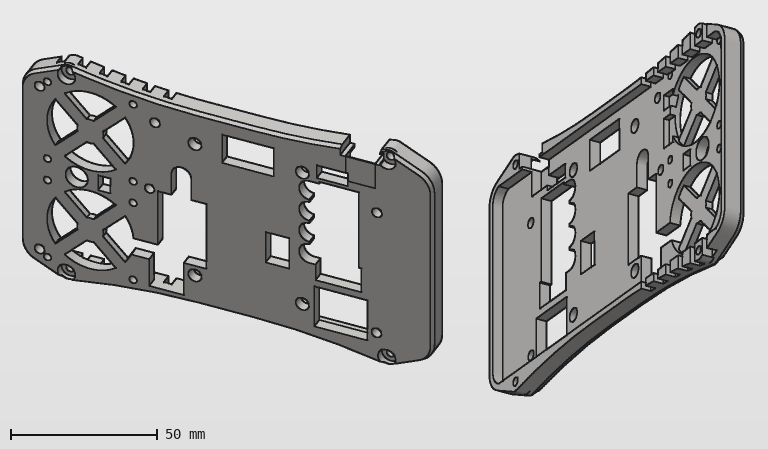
import cadquery as cq
import math


LENGTH = 154.2
HEIGHT = 89.1
DEPTH = 8.0
FLOOR = 4.2
FRONT = -DEPTH / 2
BACK = DEPTH / 2
FLOOR_BACK = FRONT + FLOOR

TIP_RADIUS = 3.5
SCREW_X = 60.0
SCREW_Z = HEIGHT / 2 - TIP_RADIUS
CORNER_RADIUS = 8.5
CORNER_X = LENGTH / 2 - CORNER_RADIUS
CORNER_Z = 31.6
WAIST_HALF_LENGTH = 10.0
WAIST_HALF_HEIGHT = 39.6
BEVEL_INSET = 0.8
BEVEL_DEPTH = 1.7

WALL = 2.3
CAVITY_HALF_HEIGHT = 37.3

SCREW_DIAMETER = 3.1
HEAD_DIAMETER = 6.6
HEAD_DEPTH = 3.2

FAN_X = -51.0
FAN_OFFSET_Z = 20.5
FAN_DIAMETER = 32.4
HUB_RADIUS = 5.0
SPOKE_WIDTH = 5.0
SPOKE_THICKNESS = 2.6
FAN_SCREW_OFFSET = 16.0
FAN_SCREW_DIAMETER = 2.8

CHANNEL_START_X = -38.5
CHANNEL_TOP = 1.2
CHANNEL_BOTTOM = -5.7

RIM_THICKNESS = 2.0
RIM_POCKET_START_X = -36.9
RIM_POCKET_END_X = -30.8
RIM_POCKETS = ((-10.0, CHANNEL_TOP), (4.3, 10.0))

SLOT_COUNT = 6
SLOT_PITCH = 8.0
SLOT_WIDTH = 3.0
FIRST_SLOT_X = -64.0

ROUND_HOLES = (
    (3.7, ((-70.0, 33.8), (-70.0, -34.1), (-26.8, 31.3), (56.3, 18.3), (56.1, -31.8))),
    (3.5, ((-28.8, 3.2),)),
    (5.0, ((-11.9, 26.8), (-11.9, -27.9), (28.4, 26.8), (28.4, -27.9))),
    (8.3, ((-56.1, 0.0),)),
)

WINDOWS = (
    (-48.1, -43.5, -3.1, 3.1),
    (-1.7, 17.6, 22.0, 33.8),
    (14.6, 23.5, -14.6, -2.0),
    (32.8, 52.7, -36.0, -19.3),
    (33.8, 45.3, 26.2, 31.5),
)

BODY_LEFT = -25.8
BODY_RIGHT = -7.5
BODY_BOTTOM = -23.9
BODY_TOP = 3.1
STEM_X = -17.0
STEM_RADIUS = 3.7
STEM_TOP = 15.5
FOOT_LEFT = -29.0
FOOT_RIGHT = -16.0

SCALLOP_RADIUS = 3.9
SCALLOP_X = 31.0
SCALLOP_PITCH = 8.8
SCALLOP_COUNT = 4
TOP_SCALLOP_Z = 20.2
BANK_TOP = TOP_SCALLOP_Z + SCALLOP_RADIUS
BANK_BOTTOM = TOP_SCALLOP_Z - (SCALLOP_COUNT - 1) * SCALLOP_PITCH - SCALLOP_RADIUS
BANK_RIGHT = 49.5
BANK_CAP_LEFT = 34.7
BANK_CAP_TOP = 24.8
BANK_FOOT_LEFT = 33.3
BANK_FOOT_RIGHT = 50.5
BANK_FOOT_TOP = -6.6
BANK_FOOT_BOTTOM = -16.5

NOTCH_LEFT = 42.5
NOTCH_RIGHT = 57.4
NOTCH_BOTTOM = 38.4
NOTCH_SHOULDER = 1.9
POCKET_BOTTOM = 28.0
POCKET_SKIN = 0.39


def block(left, right, bottom, top, y_start=FRONT, y_end=FLOOR_BACK):
    """Box between two Y levels, by default through the floor."""
    size = (right - left, y_end - y_start, top - bottom)
    return cq.Workplane("XY").box(*size, centered=False).translate((left, y_start, bottom))


def rods(centres, diameter, y_end=FLOOR_BACK):
    """Cylinders along Y from the front face at the given (x, z) centres."""
    sketch = cq.Workplane("XZ", origin=(0, FRONT, 0)).pushPoints(centres)
    return sketch.circle(diameter / 2).extrude(FRONT - y_end)


def outlined_slab(inset, y_start):
    """Slab with the tray's outline moved inward by inset, from y_start to the back."""
    tip_radius = TIP_RADIUS - inset
    corner_radius = CORNER_RADIUS - inset
    waist_z = WAIST_HALF_HEIGHT - inset

    tip_run = SCREW_X - WAIST_HALF_LENGTH
    tip_rise = SCREW_Z - waist_z
    waist_radius = (tip_run**2 + tip_rise**2 - tip_radius**2) / (2 * (tip_radius + tip_rise))
    waist_sweep = math.asin(tip_run / (waist_radius + tip_radius))

    corner_run = CORNER_X - SCREW_X
    corner_drop = SCREW_Z - CORNER_Z
    centre_distance = math.hypot(corner_run, corner_drop)
    edge_angle = math.atan2(corner_drop, corner_run) - math.asin(
        (corner_radius - tip_radius) / centre_distance
    )

    def on_circle(x, z, radius, angle):
        return (x + radius * math.sin(angle), z + radius * math.cos(angle))

    def on_waist(angle):
        return on_circle(WAIST_HALF_LENGTH, waist_z + waist_radius, waist_radius, math.pi - angle)

    def on_tip(angle):
        return on_circle(SCREW_X, SCREW_Z, tip_radius, angle)

    def on_corner(angle):
        return on_circle(CORNER_X, CORNER_Z, corner_radius, angle)

    side_angle = math.pi / 2
    quarter = (
        cq.Workplane("XZ", origin=(0, y_start, 0))
        .lineTo(0, waist_z)
        .lineTo(*on_waist(0))
        .threePointArc(on_waist(waist_sweep / 2), on_waist(waist_sweep))
        .threePointArc(on_tip((edge_angle - waist_sweep) / 2), on_tip(edge_angle))
        .lineTo(*on_corner(edge_angle))
        .threePointArc(on_corner((edge_angle + side_angle) / 2), on_corner(side_angle))
        .lineTo(LENGTH / 2 - inset, 0)
        .close()
        .extrude(y_start - BACK)
    )
    half = quarter.union(quarter.mirror("YZ"))
    return half.union(half.mirror("XY")).clean()


def tray():
    body = outlined_slab(0, FRONT).faces("<Y").chamfer(BEVEL_DEPTH, BEVEL_INSET)
    band = block(-LENGTH, LENGTH, -CAVITY_HALF_HEIGHT, CAVITY_HALF_HEIGHT, FLOOR_BACK, BACK)
    return body.cut(outlined_slab(WALL, FLOOR_BACK).intersect(band))


def corner_screws():
    centres = [(x, z) for x in (-SCREW_X, SCREW_X) for z in (-SCREW_Z, SCREW_Z)]
    shanks = rods(centres, SCREW_DIAMETER, BACK)
    return shanks.union(rods(centres, HEAD_DIAMETER, FRONT + HEAD_DEPTH))


def fan(z):
    """Grille opening that leaves the hub and spokes standing, with its four screw holes."""
    centre = [(FAN_X, z)]
    spokes_back = FRONT + SPOKE_THICKNESS
    spokes = rods(centre, 2 * HUB_RADIUS, spokes_back)
    for angle in (45, -45):
        bar = block(
            -FAN_DIAMETER, FAN_DIAMETER, -SPOKE_WIDTH / 2, SPOKE_WIDTH / 2, FRONT, spokes_back
        )
        spokes = spokes.union(bar.rotate((0, 0, 0), (0, 1, 0), angle).translate((FAN_X, 0, z)))
    offsets = (-FAN_SCREW_OFFSET, FAN_SCREW_OFFSET)
    screws = [(FAN_X + dx, z + dz) for dx in offsets for dz in offsets]
    return rods(centre, FAN_DIAMETER).cut(spokes).union(rods(screws, FAN_SCREW_DIAMETER))


def rim_pockets():
    lower, upper = (
        block(
            RIM_POCKET_START_X,
            RIM_POCKET_END_X,
            FAN_OFFSET_Z + bottom,
            FAN_OFFSET_Z + top,
            FRONT + RIM_THICKNESS,
        )
        for bottom, top in RIM_POCKETS
    )
    return lower.union(upper)


def vent_slots():
    first = block(
        FIRST_SLOT_X - SLOT_WIDTH / 2, FIRST_SLOT_X + SLOT_WIDTH / 2, -HEIGHT, HEIGHT, FLOOR_BACK, BACK
    )
    slots = first
    for index in range(1, SLOT_COUNT):
        slots = slots.union(first.translate((index * SLOT_PITCH, 0, 0)))
    return slots


def floor_openings():
    openings = block(*WINDOWS[0])
    for window in WINDOWS[1:]:
        openings = openings.union(block(*window))
    for diameter, centres in ROUND_HOLES:
        openings = openings.union(rods(centres, diameter))
    return openings


def stepped_opening():
    arch_z = STEM_TOP - STEM_RADIUS
    channel_bottom = -FAN_OFFSET_Z + CHANNEL_BOTTOM
    body = block(BODY_LEFT, BODY_RIGHT, BODY_BOTTOM, BODY_TOP)
    stem = block(STEM_X - STEM_RADIUS, STEM_X + STEM_RADIUS, BODY_BOTTOM, arch_z)
    arch = rods([(STEM_X, arch_z)], 2 * STEM_RADIUS)
    foot = block(FOOT_LEFT, FOOT_RIGHT, -CAVITY_HALF_HEIGHT, channel_bottom)
    channel = block(CHANNEL_START_X, FOOT_RIGHT, channel_bottom, -FAN_OFFSET_Z + CHANNEL_TOP)
    return body.union(stem).union(arch).union(foot).union(channel)


def scalloped_opening():
    scallops = [(SCALLOP_X, TOP_SCALLOP_Z - index * SCALLOP_PITCH) for index in range(SCALLOP_COUNT)]
    bank = block(SCALLOP_X, BANK_RIGHT, BANK_BOTTOM, BANK_TOP)
    cap = block(BANK_CAP_LEFT, BANK_RIGHT, BANK_BOTTOM, BANK_CAP_TOP)
    foot = block(BANK_FOOT_LEFT, BANK_RIGHT, BANK_FOOT_BOTTOM, BANK_TOP)
    toe = block(BANK_FOOT_LEFT, BANK_FOOT_RIGHT, BANK_FOOT_BOTTOM, BANK_FOOT_TOP)
    return rods(scallops, 2 * SCALLOP_RADIUS).union(bank).union(cap).union(foot).union(toe)


def connector_notch():
    notch = block(NOTCH_LEFT, NOTCH_RIGHT, NOTCH_BOTTOM, HEIGHT, FRONT, BACK)
    pocket = block(
        NOTCH_LEFT + NOTCH_SHOULDER,
        NOTCH_RIGHT - NOTCH_SHOULDER,
        POCKET_BOTTOM,
        NOTCH_BOTTOM,
        FRONT + POCKET_SKIN,
        BACK,
    )
    return notch.union(pocket)


result = (
    tray()
    .cut(corner_screws())
    .cut(fan(FAN_OFFSET_Z))
    .cut(fan(-FAN_OFFSET_Z))
    .cut(rim_pockets())
    .cut(vent_slots())
    .cut(floor_openings())
    .cut(stepped_opening())
    .cut(scalloped_opening())
    .cut(connector_notch())
)